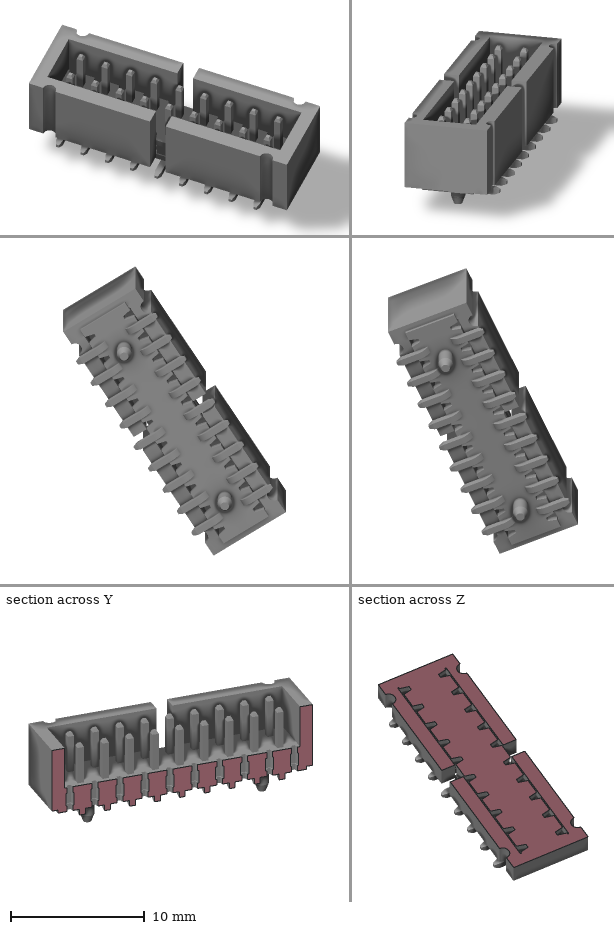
import cadquery as cq
import math


shroud_length = 20.92
shroud_width = 6.38
shroud_height = 5.1
cavity_length = 18.87
cavity_width = 4.1
key_slot_width = 1.28
groove_diameter = 1.0
groove_x = 8.79

pin_columns = 9
pin_span = 16.0
pitch = pin_span / (pin_columns - 1)
row_y = pitch / 2

base_length = 19.95
base_width = 3.97
base_top = 1.78
base_bottom = -0.25
notch_tip_y = 1.28
notch_mouth_width = 0.63
notch_tip_width = 0.3
waist_bottom = 0.25
waist_top = 1.25
waist_inset = 0.08

pin_size = 0.5
pin_tip_size = 0.25
pin_tip_length = 0.25
pin_top = 4.98
lead_span = 7.05
lead_tip_length = 0.38
lead_bottom = base_bottom - pin_size
bend_radius = 2 * pin_size

peg_diameter = 1.09
peg_tip_diameter = 0.63
peg_bottom = -2.13
peg_tip_length = 0.63
peg_x = 3.5 * pitch


def block(length, width, bottom, top):
    """Box centred on the Z axis between two heights."""
    return cq.Workplane("XY").workplane(offset=bottom).rect(length, width).extrude(top - bottom)


def make_shroud():
    """Open frame with a key slot through both long walls and four round grooves."""
    shroud = block(shroud_length, shroud_width, 0, shroud_height)
    shroud = shroud.cut(block(cavity_length, cavity_width, 0, shroud_height))
    shroud = shroud.cut(block(key_slot_width, shroud_width, 0, shroud_height))
    grooves = (
        cq.Workplane("XY")
        .rect(2 * groove_x, shroud_width, forConstruction=True)
        .vertices()
        .circle(groove_diameter / 2)
        .extrude(shroud_height)
    )
    return shroud.cut(grooves)


def make_notches(inset, bottom, top):
    """Tapered notches between the pin columns, with sides and tips pushed back by the inset."""
    half_mouth = notch_mouth_width / 2 + inset
    half_tip = notch_tip_width / 2 + inset
    tip_y = notch_tip_y - inset
    notches = cq.Workplane("XY").workplane(offset=bottom)
    for gap in range(pin_columns + 1):
        x = (gap - pin_columns / 2) * pitch
        for side in (-1, 1):
            notches = notches.polyline([
                (x - half_mouth, side * base_width / 2),
                (x - half_tip, side * tip_y),
                (x + half_tip, side * tip_y),
                (x + half_mouth, side * base_width / 2),
            ]).close()
    return notches.extrude(top - bottom)


def make_base():
    """Pin carrier whose teeth are set back all around at mid height."""
    base = block(base_length, base_width, base_bottom, base_top)
    base = base.cut(make_notches(0, base_bottom, base_top))
    base = base.cut(make_notches(waist_inset, waist_bottom, waist_top))
    waist_band = block(cavity_length, base_width, waist_bottom, waist_top)
    waist_core = block(cavity_length, base_width - 2 * waist_inset, waist_bottom, waist_top)
    return base.cut(waist_band.cut(waist_core))


def square_tip(plane, length):
    """Square taper from the pin section down to the tip section."""
    taper = math.degrees(math.atan((pin_size - pin_tip_size) / 2 / length))
    return cq.Workplane(plane).rect(pin_size, pin_size).extrude(length, taper=taper)


def make_pin():
    """One pin of the +Y row at X = 0, with its lead bent outward under the base."""
    inner_y = row_y - pin_size / 2
    outer_y = row_y + pin_size / 2
    shaft_top = pin_top - pin_tip_length
    lead_end = lead_span / 2 - lead_tip_length
    bend_y = inner_y + bend_radius
    bend_z = lead_bottom + bend_radius
    arc_offset = bend_radius * math.sqrt(0.5)
    body = (
        cq.Workplane("YZ")
        .workplane(offset=-pin_size / 2)
        .moveTo(inner_y, shaft_top)
        .lineTo(inner_y, bend_z)
        .threePointArc((bend_y - arc_offset, bend_z - arc_offset), (bend_y, lead_bottom))
        .lineTo(lead_end, lead_bottom)
        .lineTo(lead_end, base_bottom)
        .lineTo(outer_y, base_bottom)
        .lineTo(outer_y, shaft_top)
        .close()
        .extrude(pin_size)
    )
    top_plane = cq.Plane(origin=(0, row_y, shaft_top), xDir=(1, 0, 0), normal=(0, 0, 1))
    lead_plane = cq.Plane(
        origin=(0, lead_end, base_bottom - pin_size / 2), xDir=(1, 0, 0), normal=(0, 1, 0)
    )
    body = body.union(square_tip(top_plane, pin_tip_length))
    return body.union(square_tip(lead_plane, lead_tip_length))


def make_peg():
    """Round locating peg on the Z axis with a conical end."""
    cone_top = peg_bottom + peg_tip_length
    return (
        cq.Workplane("XZ")
        .moveTo(0, base_bottom)
        .lineTo(peg_diameter / 2, base_bottom)
        .lineTo(peg_diameter / 2, cone_top)
        .lineTo(peg_tip_diameter / 2, peg_bottom)
        .lineTo(0, peg_bottom)
        .close()
        .revolve(360, (0, 0), (0, 1))
    )


result = make_shroud().union(make_base())

back_pin = make_pin()
front_pin = back_pin.mirror("XZ")
for column in range(pin_columns):
    column_x = column * pitch - pin_span / 2
    for row_pin in (back_pin, front_pin):
        result = result.union(row_pin.translate((column_x, 0, 0)))

peg = make_peg()
for side in (-1, 1):
    result = result.union(peg.translate((side * peg_x, 0, 0)))